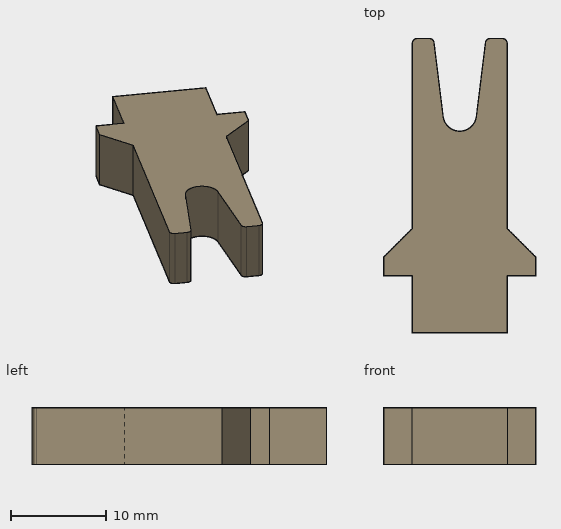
import cadquery as cq
import math

thickness = 6.0
total_length = 31.0
blade_width = 10.0
flange_width = 16.0
tail_length = 6.0
flange_edge_length = 2.0
slot_mouth_width = 5.5
slot_end_radius = 1.75
slot_center_depth = 8.0
tip_radius = 0.5

half_blade = blade_width / 2
half_flange = flange_width / 2
half_mouth = slot_mouth_width / 2
flange_edge_end = tail_length + flange_edge_length
flange_end = flange_edge_end + (half_flange - half_blade)
slot_center = total_length - slot_center_depth
slot_bottom = slot_center - slot_end_radius


def make_body():
    """Blade with a flange on both sides, its rear end on the X axis."""
    right_side = [
        (half_blade, 0),
        (half_blade, tail_length),
        (half_flange, tail_length),
        (half_flange, flange_edge_end),
        (half_blade, flange_end),
        (half_blade, total_length),
    ]
    left_side = [(-x, y) for x, y in reversed(right_side)]
    return cq.Workplane("XY").polyline(right_side + left_side).close().extrude(thickness)


def make_slot():
    """Tapered slot whose walls run tangent into a round end."""
    mouth_distance = math.hypot(half_mouth, slot_center_depth)
    mouth_angle = math.atan2(slot_center_depth, half_mouth)
    tangent_angle = mouth_angle - math.acos(slot_end_radius / mouth_distance)
    tangent_x = slot_end_radius * math.cos(tangent_angle)
    tangent_y = slot_center + slot_end_radius * math.sin(tangent_angle)
    return (
        cq.Workplane("XY")
        .moveTo(-half_mouth, total_length)
        .lineTo(-tangent_x, tangent_y)
        .threePointArc((0, slot_bottom), (tangent_x, tangent_y))
        .lineTo(half_mouth, total_length)
        .close()
        .extrude(thickness)
    )


def round_fork_tips(body):
    """Round the four upright edges at the ends of the two prongs."""
    margin = tip_radius / 2
    tip_zone = cq.selectors.BoxSelector(
        (-half_flange, total_length - margin, -margin),
        (half_flange, total_length + margin, thickness + margin),
    )
    return body.edges("|Z").edges(tip_zone).fillet(tip_radius)


result = round_fork_tips(make_body().cut(make_slot()))